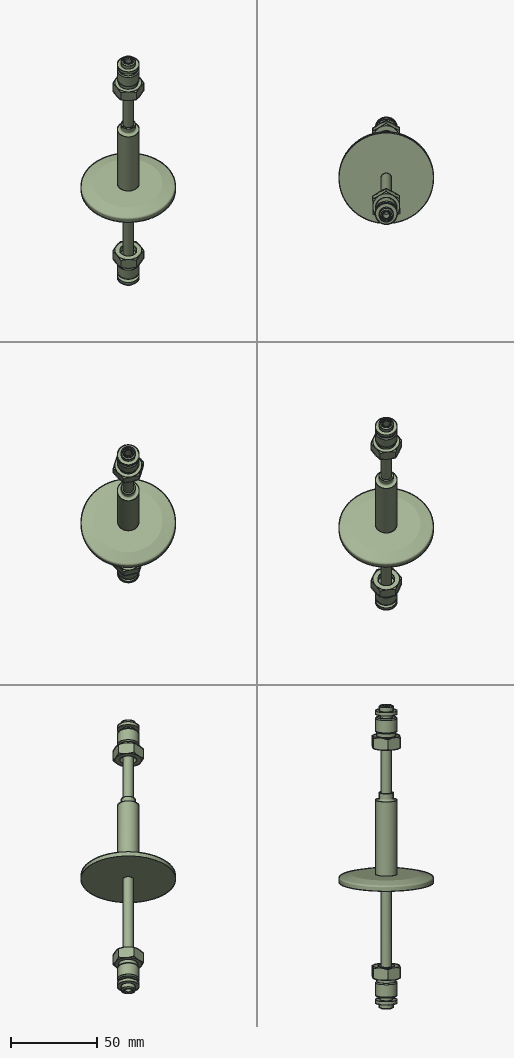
import cadquery as cq
import math

TOTAL_LENGTH = 179.0
TOP_Z = 104.5
BOTTOM_Z = TOP_Z - TOTAL_LENGTH

TUBE_RADIUS = 6.3 / 2
BORE_RADIUS = 2.0

FLANGE_RADIUS = 55.0 / 2
FLANGE_THICKNESS = 4.8
FLANGE_FACE_RADIUS = 20.0
FLANGE_SLOPE_ANGLE = 13.5
FLANGE_RIM_ROUND = 1.0

SLEEVE_RADIUS = 12.7 / 2
SLEEVE_TOP_Z = 48.7
NECK_RADIUS = 8.2 / 2
NECK_TOP_Z = 53.0
NECK_COVE_RADIUS = 1.0

FITTING_LENGTH = 25.0
FITTING_TIP_RADIUS = 8.2 / 2
TIP_CHAMFER_WIDTH = 0.9
TIP_CHAMFER_HEIGHT = 0.5
COLLAR_START = 3.0
COLLAR_END = 5.0
COLLAR_RADIUS = SLEEVE_RADIUS
THROAT_RADIUS = 7.3 / 2
BARREL_START = 7.0
BARREL_END = 15.8
BARREL_RADIUS = SLEEVE_RADIUS
BARREL_CHAMFER = 0.7
RELIEF_RADIUS = BARREL_RADIUS - BARREL_CHAMFER

NUT_LENGTH = 7.2
NUT_START = FITTING_LENGTH - NUT_LENGTH
NUT_ACROSS_FLATS = 15.5
NUT_ACROSS_CORNERS = NUT_ACROSS_FLATS / math.cos(math.radians(30))
NUT_CHAMFER_ANGLE = 30.0
NUT_FACE_RADIUS = NUT_ACROSS_FLATS / 2

MOUTH_RADIUS = 2.5
SOCKET_FLOOR = 9.0
CLEARANCE_RADIUS = 9.7 / 2
CLEARANCE_DEPTH = 3.5


def revolve_profile(points):
    """Solid of revolution about Z from (radius, z) points."""
    return cq.Workplane("XZ").polyline(points).close().revolve(360, (0, 0, 0), (0, 1, 0))


def make_flanged_tube():
    slope = math.tan(math.radians(FLANGE_SLOPE_ANGLE))
    rim_z = FLANGE_THICKNESS - (FLANGE_RADIUS - FLANGE_FACE_RADIUS) * slope
    flange = revolve_profile([
        (0, 0),
        (FLANGE_RADIUS, 0),
        (FLANGE_RADIUS, rim_z),
        (FLANGE_FACE_RADIUS, FLANGE_THICKNESS),
        (0, FLANGE_THICKNESS),
    ])
    rim = cq.selectors.BoxSelector(
        (-2 * FLANGE_RADIUS, -2 * FLANGE_RADIUS, rim_z - 0.02),
        (2 * FLANGE_RADIUS, 2 * FLANGE_RADIUS, rim_z + 0.02),
        boundingbox=True,
    )
    flange = flange.edges(rim).fillet(FLANGE_RIM_ROUND)

    sleeve = (
        cq.Workplane("XZ")
        .lineTo(SLEEVE_RADIUS, 0)
        .lineTo(SLEEVE_RADIUS, SLEEVE_TOP_Z)
        .lineTo(NECK_RADIUS + NECK_COVE_RADIUS, SLEEVE_TOP_Z)
        .radiusArc((NECK_RADIUS, SLEEVE_TOP_Z + NECK_COVE_RADIUS), NECK_COVE_RADIUS)
        .lineTo(NECK_RADIUS, NECK_TOP_Z)
        .lineTo(0, NECK_TOP_Z)
        .close()
        .revolve(360, (0, 0, 0), (0, 1, 0))
    )

    tube_bottom = BOTTOM_Z + SOCKET_FLOOR
    tube_length = TOTAL_LENGTH - 2 * SOCKET_FLOOR
    base = cq.Workplane("XY").workplane(offset=tube_bottom)
    tube = base.circle(TUBE_RADIUS).extrude(tube_length)
    bore = base.circle(BORE_RADIUS).extrude(tube_length)
    return flange.union(sleeve).union(tube).cut(bore)


def make_nut():
    """Hexagonal nut with both ends chamfered by a cone."""
    hexagon = (
        cq.Workplane("XY").workplane(offset=NUT_START)
        .polygon(6, NUT_ACROSS_CORNERS).extrude(NUT_LENGTH)
    )
    corner_radius = NUT_ACROSS_CORNERS / 2
    drop = (corner_radius - NUT_FACE_RADIUS) * math.tan(math.radians(NUT_CHAMFER_ANGLE))
    envelope = revolve_profile([
        (0, NUT_START),
        (NUT_FACE_RADIUS, NUT_START),
        (corner_radius, NUT_START + drop),
        (corner_radius, FITTING_LENGTH - drop),
        (NUT_FACE_RADIUS, FITTING_LENGTH),
        (0, FITTING_LENGTH),
    ])
    return hexagon.intersect(envelope)


def make_fitting():
    """Fitting with its outer end at z = 0 and its nut toward +Z."""
    turned = revolve_profile([
        (0, 0),
        (FITTING_TIP_RADIUS - TIP_CHAMFER_WIDTH, 0),
        (FITTING_TIP_RADIUS, TIP_CHAMFER_HEIGHT),
        (FITTING_TIP_RADIUS, COLLAR_START),
        (COLLAR_RADIUS, COLLAR_START),
        (COLLAR_RADIUS, COLLAR_END),
        (THROAT_RADIUS, COLLAR_END),
        (THROAT_RADIUS, BARREL_START),
        (BARREL_RADIUS - BARREL_CHAMFER, BARREL_START),
        (BARREL_RADIUS, BARREL_START + BARREL_CHAMFER),
        (BARREL_RADIUS, BARREL_END - BARREL_CHAMFER),
        (RELIEF_RADIUS, BARREL_END),
        (RELIEF_RADIUS, NUT_START),
        (0, NUT_START),
    ])
    cavity = revolve_profile([
        (0, 0),
        (MOUTH_RADIUS, 0),
        (BORE_RADIUS, MOUTH_RADIUS - BORE_RADIUS),
        (BORE_RADIUS, SOCKET_FLOOR),
        (TUBE_RADIUS, SOCKET_FLOOR),
        (TUBE_RADIUS, FITTING_LENGTH - CLEARANCE_DEPTH),
        (CLEARANCE_RADIUS, FITTING_LENGTH - CLEARANCE_DEPTH),
        (CLEARANCE_RADIUS, FITTING_LENGTH),
        (0, FITTING_LENGTH),
    ])
    return turned.union(make_nut()).cut(cavity)


flanged_tube = make_flanged_tube()

fittings = []
for end_z, turn in ((BOTTOM_Z, 0), (TOP_Z, 180)):
    fitting = make_fitting().rotate((0, 0, 0), (1, 0, 0), turn).translate((0, 0, end_z))
    fittings.append(fitting.val())

result = cq.Compound.makeCompound([flanged_tube.val(), *fittings])